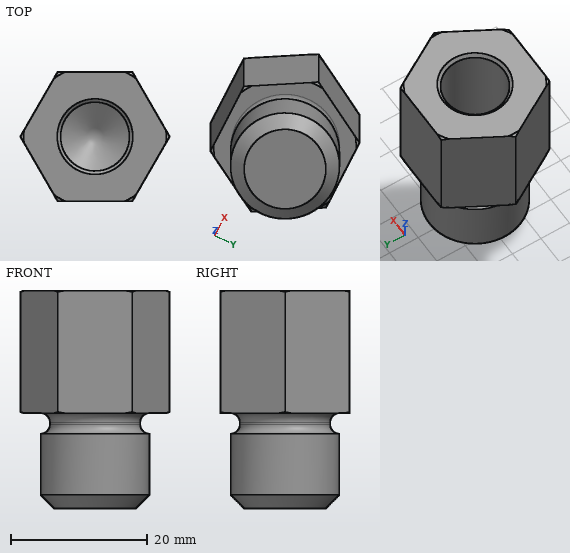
import cadquery as cq
import math

across_flats = 19.0
head_height = 18.0
corner_chamfer_diameter = 20.9
corner_chamfer_angle = 20.0
blank_clearance = 1.0

spigot_length = 14.0
spigot_diameter = 16.0
tip_chamfer = 2.0

undercut_diameter = 13.3
undercut_width = 3.0

bore_diameter = 10.11
bore_depth = 17.0
bore_mouth_diameter = 11.1
bore_mouth_angle = 45.0
drill_point_angle = 118.0

total_height = spigot_length + head_height
across_corners = across_flats / math.cos(math.pi / 6)


def revolve_about_z(profile):
    """Turn a closed (radius, height) profile about the Z axis."""
    return profile.close().revolve(360, (0, 0, 0), (0, 1, 0))


def make_head():
    """Hexagon with corners on the X axis, both ends turned to a conical corner chamfer."""
    prism = (
        cq.Workplane("XY")
        .workplane(offset=spigot_length)
        .polygon(6, across_corners)
        .extrude(head_height)
    )
    face_radius = corner_chamfer_diameter / 2
    outer_radius = across_corners / 2 + blank_clearance
    slope = math.tan(math.radians(corner_chamfer_angle))
    cone_drop = (outer_radius - face_radius) * slope
    turned_blank = revolve_about_z(
        cq.Workplane("XZ")
        .moveTo(0, spigot_length)
        .lineTo(face_radius, spigot_length)
        .lineTo(outer_radius, spigot_length + cone_drop)
        .lineTo(outer_radius, total_height - cone_drop)
        .lineTo(face_radius, total_height)
        .lineTo(0, total_height)
    )
    return prism.intersect(turned_blank)


def make_spigot():
    """Round spigot with a tip chamfer and an undercut blended by quarter rounds at both ends."""
    radius = spigot_diameter / 2
    root_radius = undercut_diameter / 2
    round_radius = radius - root_radius
    shoulder_z = spigot_length - undercut_width
    root_bottom_z = shoulder_z + round_radius
    root_top_z = spigot_length - round_radius
    arc_mid_r = radius - round_radius * math.cos(math.pi / 4)
    arc_mid_rise = round_radius * math.sin(math.pi / 4)

    return revolve_about_z(
        cq.Workplane("XZ")
        .moveTo(0, 0)
        .lineTo(radius - tip_chamfer, 0)
        .lineTo(radius, tip_chamfer)
        .lineTo(radius, shoulder_z)
        .threePointArc((arc_mid_r, root_bottom_z - arc_mid_rise), (root_radius, root_bottom_z))
        .lineTo(root_radius, root_top_z)
        .threePointArc((arc_mid_r, root_top_z + arc_mid_rise), (radius, spigot_length))
        .lineTo(0, spigot_length)
    )


def make_bore():
    """Blind drilled bore with a countersunk mouth and a conical drill point."""
    bore_radius = bore_diameter / 2
    mouth_radius = bore_mouth_diameter / 2
    mouth_depth = (mouth_radius - bore_radius) / math.tan(math.radians(bore_mouth_angle))
    point_height = bore_radius / math.tan(math.radians(drill_point_angle / 2))
    floor_z = total_height - bore_depth
    return revolve_about_z(
        cq.Workplane("XZ")
        .moveTo(0, floor_z - point_height)
        .lineTo(bore_radius, floor_z)
        .lineTo(bore_radius, total_height - mouth_depth)
        .lineTo(mouth_radius, total_height)
        .lineTo(0, total_height)
    )


result = make_head().union(make_spigot()).cut(make_bore())